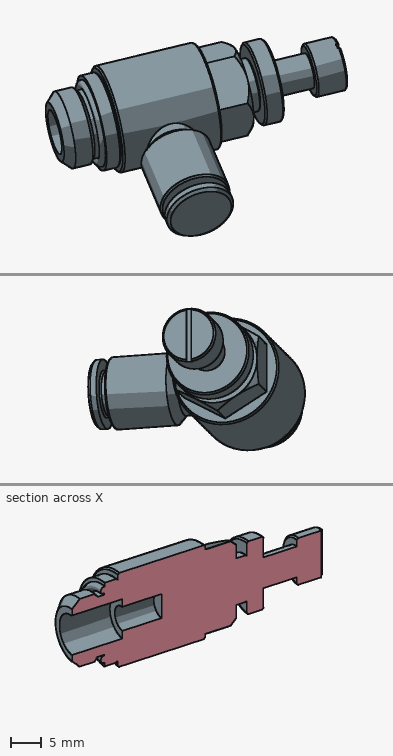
import cadquery as cq
import math


edge_break = 0.3

thread_radius = 6.5
inlet_tip_length = 1.5
inlet_tip_radius = thread_radius - inlet_tip_length
thread_end = 4.45
relief_radius = 5.8
relief_start = 5.05

flange_radius = 8.05
flange_start = 6.35
o_ring_section_radius = 0.8
o_ring_center_radius = relief_radius + o_ring_section_radius

bore_radius = 3.7
bore_depth = 9.8
orifice_radius = 2.25

body_radius = 9.0
body_start = 8.9
body_end = 25.95

hex_across_flats = 14.0
hex_end = 31.95
hex_corner_radius = hex_across_flats / math.sqrt(3)

neck_radius = 4.5
neck_chamfer = 0.2
disc_radius = 7.0
disc_start = 33.95
disc_end = 37.25
screw_radius = 3.0
head_radius = 4.5
head_start = 43.65
stem_length = 48.95
slot_width = 0.9
slot_depth = 0.5

branch_y = 17.4
branch_neck_radius = 4.5
branch_neck_end = 9.3
branch_radius = 5.95
branch_cone_end = branch_neck_end + branch_radius - branch_neck_radius
branch_sleeve_end = 21.25
collar_groove_radius = 3.6
collar_radius = 5.75
collar_start = 22.65
collar_end = 24.2
collar_chamfer = 0.5


def turned_on_y(points):
    """Revolve (radius, y) points, with both ends joined to the axis, about Y."""
    closed = [(0, points[0][1])] + points + [(0, points[-1][1])]
    return cq.Workplane("XY").polyline(closed).close().revolve(360, (0, 0, 0), (0, 1, 0))


def chamfered_step(radius, start, end, chamfer_start=edge_break, chamfer_end=edge_break):
    """(radius, y) points of a cylinder whose two rims may be chamfered."""
    points = [(radius, start)]
    if chamfer_start:
        points = [(radius - chamfer_start, start), (radius, start + chamfer_start)]
    if not chamfer_end:
        return points + [(radius, end)]
    return points + [(radius, end - chamfer_end), (radius - chamfer_end, end)]


def inlet_and_body():
    inlet = [
        (inlet_tip_radius, 0),
        (thread_radius, inlet_tip_length),
        (thread_radius, thread_end),
        (relief_radius, relief_start),
        (relief_radius, flange_start),
    ]
    flange = chamfered_step(flange_radius, flange_start, body_start, chamfer_start=0)
    body = chamfered_step(body_radius, body_start, body_end)
    return turned_on_y(inlet + flange + body)


def o_ring():
    """Ring half sunk into the flange face, resting on the thread relief."""
    section = cq.Workplane("XY").center(o_ring_center_radius, flange_start).circle(o_ring_section_radius)
    return section.revolve(360, (-o_ring_center_radius, 0, 0), (-o_ring_center_radius, 1, 0))


def hexagon():
    """Hexagon with flats facing +X and -X, its upper corners cut by a 45 degree cone."""
    angles = [math.radians(60 * corner) for corner in range(6)]
    corners = [(hex_corner_radius * math.sin(angle), hex_corner_radius * math.cos(angle)) for angle in angles]
    prism = cq.Workplane("XZ").workplane(offset=-body_end).polyline(corners).close().extrude(body_end - hex_end)
    corner_drop = hex_corner_radius - hex_across_flats / 2
    envelope = chamfered_step(hex_corner_radius, body_end, hex_end, chamfer_start=0, chamfer_end=corner_drop)
    return prism.intersect(turned_on_y(envelope))


def screw_and_disc():
    neck = chamfered_step(neck_radius, hex_end, disc_start, chamfer_start=0, chamfer_end=neck_chamfer)
    disc = chamfered_step(disc_radius, disc_start, disc_end)
    shank = [(screw_radius, disc_end), (screw_radius, head_start)]
    head = chamfered_step(head_radius, head_start, stem_length)
    return turned_on_y(neck + disc + shank + head)


def branch():
    outline = [
        (0, 0),
        (0, branch_neck_radius),
        (branch_neck_end, branch_neck_radius),
        (branch_cone_end, branch_radius),
        (branch_sleeve_end - edge_break, branch_radius),
        (branch_sleeve_end, branch_radius - edge_break),
        (branch_sleeve_end, collar_groove_radius),
        (collar_start - edge_break, collar_groove_radius),
        (collar_start, collar_groove_radius + edge_break),
        (collar_start, collar_radius),
        (collar_end - collar_chamfer, collar_radius),
        (collar_end, collar_radius - collar_chamfer),
        (collar_end, 0),
    ]
    turned = cq.Workplane("XY").polyline(outline).close().revolve(360, (0, 0, 0), (1, 0, 0))
    return turned.translate((0, branch_y, 0))


def inlet_bore():
    """Inlet bore stepping down to an orifice that stops at the branch axis."""
    return turned_on_y(
        [(bore_radius, 0), (bore_radius, bore_depth), (orifice_radius, bore_depth), (orifice_radius, branch_y)]
    )


def driver_slot():
    slot = cq.Workplane("XY").box(slot_width, slot_depth, 2 * head_radius)
    return slot.translate((0, stem_length - slot_depth / 2, 0))


result = (
    inlet_and_body()
    .union(o_ring())
    .union(hexagon())
    .union(screw_and_disc())
    .union(branch())
    .cut(inlet_bore())
    .cut(driver_slot())
)